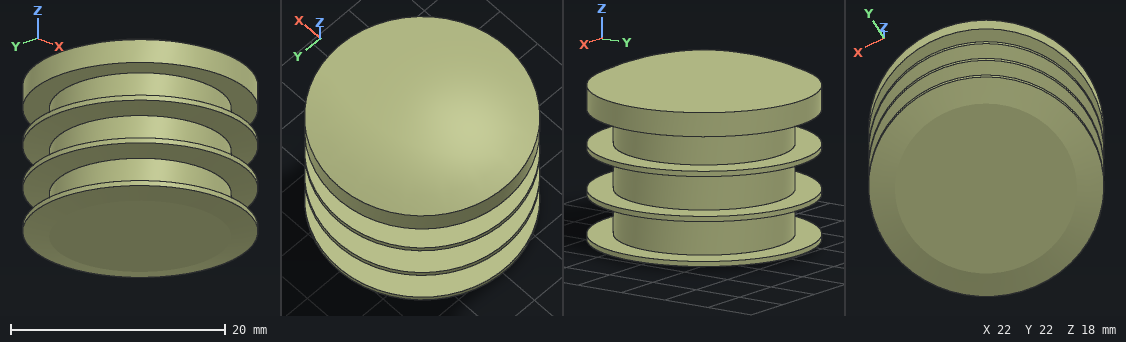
import cadquery as cq

outer_diameter = 22
core_diameter = 17.0
total_height = 18.0
cap_bottom = 13.0
cap_rim_height = 2.3
fin_count = 3
fin_rim_height = 0.5
fin_taper_height = 0.5

outer_radius = outer_diameter / 2
core_radius = core_diameter / 2
fin_pitch = cap_bottom / fin_count
dome_base = cap_bottom + cap_rim_height
dome_rise = total_height - dome_base
dome_radius = (outer_radius**2 + dome_rise**2) / (2 * dome_rise)


def revolve_about_z(profile):
    """Turn a closed radius-height profile a full turn about the Z axis."""
    return profile.close().revolve(360, (0, 0, 0), (0, 1, 0))


def make_cap():
    """Cap with a straight rim and a spherical dome."""
    arc_mid_radius = outer_radius / 2
    dome_center = total_height - dome_radius
    arc_mid_height = dome_center + (dome_radius**2 - arc_mid_radius**2) ** 0.5
    profile = (
        cq.Workplane("XZ")
        .moveTo(0, cap_bottom)
        .lineTo(outer_radius, cap_bottom)
        .lineTo(outer_radius, dome_base)
        .threePointArc((arc_mid_radius, arc_mid_height), (0, total_height))
    )
    return revolve_about_z(profile)


def make_fin(bottom):
    """Flat-topped fin whose underside tapers in to the core."""
    rim_bottom = bottom + fin_taper_height
    rim_top = rim_bottom + fin_rim_height
    profile = (
        cq.Workplane("XZ")
        .moveTo(0, bottom)
        .lineTo(core_radius, bottom)
        .lineTo(outer_radius, rim_bottom)
        .lineTo(outer_radius, rim_top)
        .lineTo(0, rim_top)
    )
    return revolve_about_z(profile)


core = cq.Workplane("XY").circle(core_radius).extrude(cap_bottom)
result = core.union(make_cap())
for fin_index in range(fin_count):
    result = result.union(make_fin(fin_index * fin_pitch))